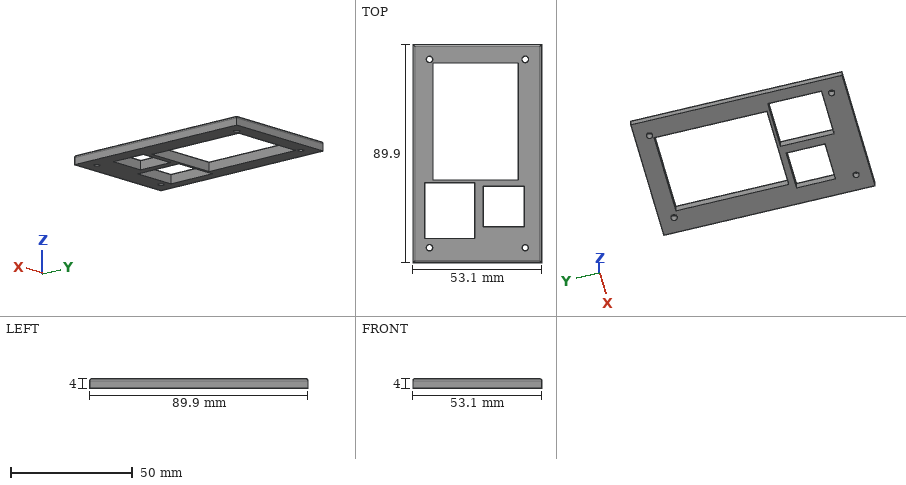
import cadquery as cq

width = 53.1
length = 89.9
thickness = 4.0
edge_radius = 1.0

large_window = (-18.2, -10.8, 35.05, 48.0)
left_window = (-21.6, -34.9, 20.4, 22.8)
right_window = (2.5, -30.0, 16.7, 16.5)

hole_x = 19.7
hole_y = 38.7
screw_holes = [(-1, 1, 2.5), (1, 1, 2.6), (-1, -1, 2.5), (1, -1, 2.4)]


def rounded_plate():
    """Flat plate with its top outer edges rounded."""
    plate = cq.Workplane("XY").box(width, length, thickness, centered=(True, True, False))
    return plate.faces(">Z").edges().fillet(edge_radius)


def window_cutter(left, bottom, window_width, window_length):
    """Block that cuts a rectangular window through the plate."""
    block = cq.Workplane("XY").box(window_width, window_length, thickness, centered=False)
    return block.translate((left, bottom, 0))


def hole_cutter(side_x, side_y, diameter):
    """Cylinder that cuts one screw hole through the plate."""
    centre = (side_x * hole_x, side_y * hole_y)
    return cq.Workplane("XY").center(*centre).circle(diameter / 2).extrude(thickness)


result = rounded_plate()
for window in (large_window, left_window, right_window):
    result = result.cut(window_cutter(*window))
for screw_hole in screw_holes:
    result = result.cut(hole_cutter(*screw_hole))